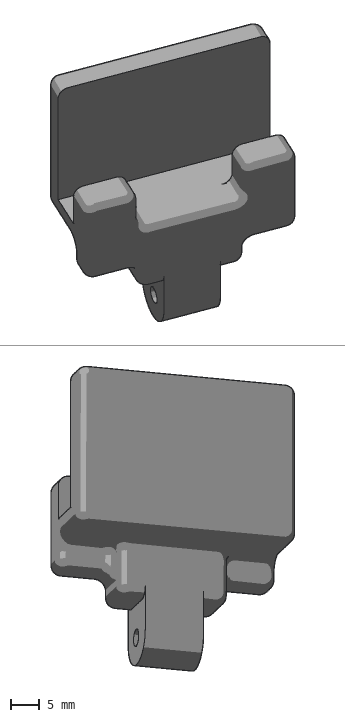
import cadquery as cq

depth = 18.0
width = 40.0
height = 50.0

wall_thickness = 5.0
slot_width = 7.0
slot_floor_z = 25.0
tab_top_z = 33.0
tab_x = wall_thickness + slot_width

ledge_bottom_z = 21.0
wing_bottom_z = 16.0
block_bottom_z = 11.0

block_width = 20.0
block_x = 8.0

lug_width = 10.7
lug_radius = (depth - block_x) / 2
lug_center_x = block_x + lug_radius
hole_diameter = 3.0
hole_offset_x = 0.3

edge_radius = 1.9

tolerance = 0.005


def centered_box(x_min, x_max, y_width, z_min, z_max):
    """Box given by its X and Z limits, centered on Y = 0."""
    return (
        cq.Workplane("XY")
        .box(x_max - x_min, y_width, z_max - z_min, centered=(False, True, False))
        .translate((x_min, 0, z_min))
    )


def is_slot_edge(edge):
    """True for an edge on the tab side of the slot, which stays sharp."""
    bounds = edge.BoundingBox()
    on_slot_side = abs(bounds.xmin - tab_x) < tolerance and abs(bounds.xmax - tab_x) < tolerance
    return on_slot_side and bounds.zmin > slot_floor_z - tolerance


def is_wing_root_edge(edge):
    """True for an inside edge where a wing meets a side of the central block."""
    center = edge.Center()
    on_block_side = abs(abs(center.y) - block_width / 2) < tolerance
    on_wing_front = abs(center.x - tab_x) < tolerance and wing_bottom_z < center.z < ledge_bottom_z
    on_wing_bottom = abs(center.z - wing_bottom_z) < tolerance
    return on_block_side and (on_wing_front or on_wing_bottom)


def round_edges(body, edges):
    """Body with the given edges rounded."""
    return body.newObject(edges).fillet(edge_radius)


def lies_on(edge, old_edges):
    """True if the middle of the edge touches one of the old edges."""
    middle = cq.Vertex.makeVertex(*edge.Center().toTuple())
    return any(old_edge.distance(middle) < tolerance for old_edge in old_edges)


def rounded_body():
    """Holder body with the slot still filled, rounded on every edge outside the slot.

    The wing roots come first, so that their fillets meet in a miter on each side of the block.
    """
    body = (
        centered_box(0, tab_x, width, ledge_bottom_z, height)
        .union(centered_box(tab_x, depth, width, wing_bottom_z, tab_top_z))
        .union(centered_box(block_x, depth, block_width, block_bottom_z, slot_floor_z))
        .cut(centered_box(tab_x, depth, block_width, slot_floor_z, tab_top_z))
        .clean()
    )
    edges = body.edges().vals()
    root_edges = [edge for edge in edges if is_wing_root_edge(edge)]
    other_edges = [edge for edge in edges if not is_wing_root_edge(edge) and not is_slot_edge(edge)]
    body = round_edges(body, root_edges)
    shortened_edges = [edge for edge in body.edges().vals() if lies_on(edge, other_edges)]
    return round_edges(body, shortened_edges)


def slot():
    """Full-width slot, open at the top."""
    return centered_box(wall_thickness, tab_x, width, slot_floor_z, height)


def lug():
    """Plain lug with a round lower end, its top buried in the block."""
    top_z = ledge_bottom_z
    return (
        cq.Workplane("XZ", origin=(0, lug_width / 2, 0))
        .moveTo(block_x, top_z)
        .lineTo(block_x, lug_radius)
        .threePointArc((lug_center_x, 0), (depth, lug_radius))
        .lineTo(depth, top_z)
        .close()
        .extrude(lug_width)
    )


def pivot_hole():
    """Cross hole through the lug, slightly off its middle."""
    return (
        cq.Workplane("XZ")
        .center(lug_center_x + hole_offset_x, lug_radius)
        .circle(hole_diameter / 2)
        .extrude(lug_width, both=True)
    )


result = rounded_body().cut(slot()).union(lug()).cut(pivot_hole())